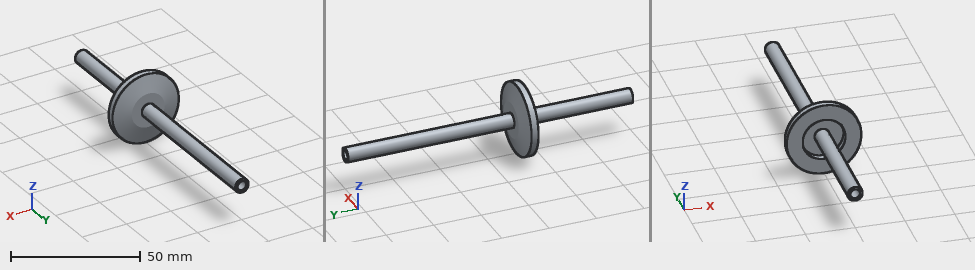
import cadquery as cq
import math

tube_length = 120.0
tube_diameter = 6.0
bore_diameter = 4.0

flange_diameter = 30.0
flange_thickness = 5.0
rim_thickness = 3.0
cone_angle = 15.0
flange_front = 45.0
recess_diameter = 17.2
recess_depth = 3.0


def make_tube():
    """Plain tube from Y = 0 to Y = tube_length."""
    profile = cq.Workplane("XZ").circle(tube_diameter / 2).circle(bore_diameter / 2)
    return profile.extrude(-tube_length)


def make_flange():
    """Ring revolved about Y, with a front recess and a hole that fits the tube."""
    hole_radius = tube_diameter / 2
    rim_radius = flange_diameter / 2
    recess_radius = recess_diameter / 2
    cone_height = flange_thickness - rim_thickness
    back_radius = rim_radius - cone_height / math.tan(math.radians(cone_angle))

    recess_floor = flange_front + recess_depth
    rim_back = flange_front + rim_thickness
    flange_back = flange_front + flange_thickness

    half_section = (
        cq.Workplane("XY")
        .moveTo(hole_radius, recess_floor)
        .lineTo(recess_radius, recess_floor)
        .lineTo(recess_radius, flange_front)
        .lineTo(rim_radius, flange_front)
        .lineTo(rim_radius, rim_back)
        .lineTo(back_radius, flange_back)
        .lineTo(hole_radius, flange_back)
        .close()
    )
    return half_section.revolve(360, (0, 0, 0), (0, 1, 0))


tube = make_tube()
flange = make_flange()

result = cq.Compound.makeCompound([tube.val(), flange.val()])